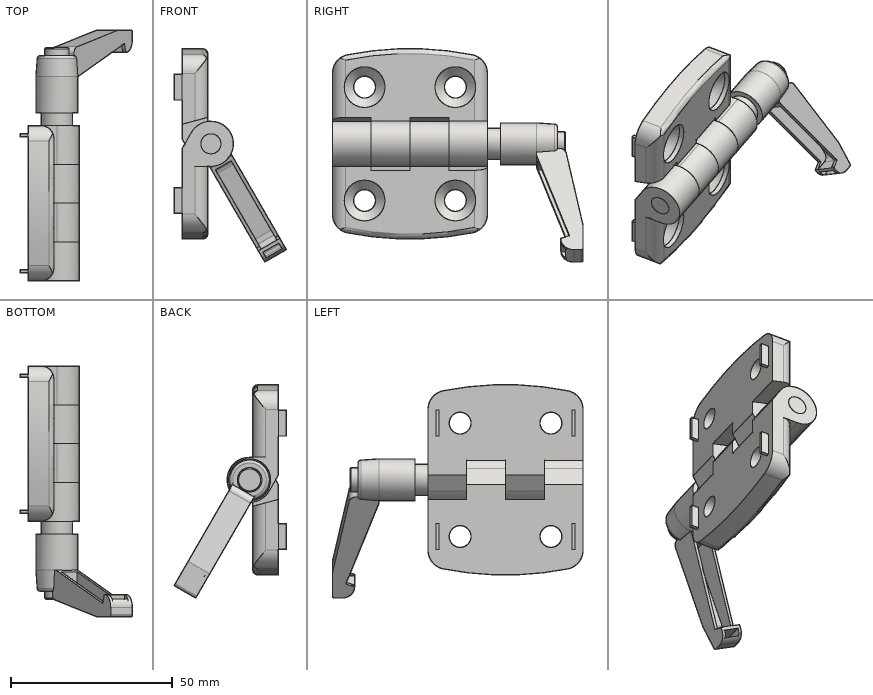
import cadquery as cq
import math


leaf_width = 48.0
leaf_thickness = 8.0
leaf_reach = 29.45
end_bow_radius = 98.4
leaf_corner_radius = 6.0
side_round_radius = 4.0
end_round_radius = 1.55

axis_x = 8.9
knuckle_radius = 7.0
knuckle_length = leaf_width / 4
neck_angle = 150.0
bay_edge_z = 6.05
bay_slope = 15.0

fixing_z = 17.5
hole_y = 14.0
hole_radius = 3.3
countersink_start_x = 3.5
countersink_radius = 6.3
tab_y = 21.0
tab_width = 1.0
tab_length = 8.0
tab_height = 2.5

pin_radius = 3.1

collar_radius = 4.9
collar_length = 3.95
sleeve_radius = 6.5
sleeve_length = 11.15
crown_radius = 6.1
crown_length = 5.6
crown_bulge = 0.04
crown_edge_radius = 0.9
cap_radius = 3.8
cap_length = 2.5
cap_chamfer = 0.4

arm_angle = 60.0
arm_width = 7.75
arm_tip_r = 40.0
overall_length = 77.5
lever_top_y = overall_length - leaf_width / 2
arm_root_r = 3.9
arm_root_round = 2.25
arm_shoulder_y = 48.4
arm_shoulder_r = arm_root_r + arm_root_round
arm_bend_r = 31.3
arm_tip_round = 0.7
hook_end_r = 35.95
hook_radius = arm_tip_r - hook_end_r
hook_end_y = 46.6
notch_r = 34.95
notch_y = 49.3
arm_foot_r = 6.3

hollow_width = 5.6
hollow_start_r = 7.7
hollow_bend_r = 32.4
hollow_start_round = 1.55
hollow_end_round = 1.85
back_thickness = 1.0
slot_start_r = 37.05
slot_width = 2.0
slot_round = 0.5

barrel_end_y = leaf_width / 2
collar_end_y = barrel_end_y + collar_length
sleeve_end_y = collar_end_y + sleeve_length
crown_end_y = sleeve_end_y + crown_length
hub_end_y = crown_end_y + crown_edge_radius
cap_end_y = hub_end_y + cap_length


def polar(radius, angle):
    """Point at an angle in degrees on a circle about the hinge axis, in XZ."""
    return (
        axis_x + radius * math.cos(math.radians(angle)),
        radius * math.sin(math.radians(angle)),
    )


def along_y(start_y):
    """Sketch plane with local x = X and local y = Z; a negative extrusion runs toward +Y."""
    return cq.Workplane(cq.Plane((0, start_y, 0), xDir=(1, 0, 0), normal=(0, -1, 0)))


def leaf_outline():
    """Plate with a bowed end and round corners, from the bay edge upward."""
    half = leaf_width / 2
    bow_center_z = leaf_reach - end_bow_radius
    shoulder_z = bow_center_z + math.sqrt(end_bow_radius**2 - half**2)
    return (
        cq.Workplane("YZ")
        .moveTo(-half, bay_edge_z)
        .lineTo(half, bay_edge_z)
        .lineTo(half, shoulder_z)
        .threePointArc((0, leaf_reach), (-half, shoulder_z))
        .close()
        .extrude(leaf_thickness)
        .edges("|X")
        .edges(">Z")
        .fillet(leaf_corner_radius)
    )


def side_round_envelope():
    """Bar along Z with the two long outer edges rounded."""
    return (
        cq.Workplane("XY")
        .box(leaf_thickness, leaf_width, leaf_reach, centered=(False, True, False))
        .edges("|Z and >X")
        .fillet(side_round_radius)
    )


def end_round_envelope():
    """Disc about the centre of the bow whose outer rim carries the end rounding."""
    return (
        cq.Workplane("YZ", origin=(0, 0, leaf_reach - end_bow_radius))
        .circle(end_bow_radius)
        .extrude(leaf_thickness)
        .faces(">X")
        .edges()
        .fillet(end_round_radius)
    )


def knuckle(start_y):
    """One barrel segment with the neck that joins it to the plate."""
    tangent_point = polar(knuckle_radius, neck_angle)
    neck_slope = math.tan(math.radians(neck_angle - 90))
    neck_foot_z = tangent_point[1] - tangent_point[0] * neck_slope
    return (
        along_y(start_y)
        .moveTo(0, knuckle_radius)
        .lineTo(0, -neck_foot_z)
        .lineTo(tangent_point[0], -tangent_point[1])
        .threePointArc(polar(knuckle_radius, 0), (axis_x, knuckle_radius))
        .close()
        .extrude(-knuckle_length)
    )


def bay(start_y):
    """Clearance for a knuckle of the other leaf, with a sloped floor."""
    floor_rise = leaf_thickness * math.tan(math.radians(bay_slope))
    return (
        along_y(start_y)
        .moveTo(0, 0)
        .lineTo(leaf_thickness, 0)
        .lineTo(leaf_thickness, bay_edge_z + floor_rise)
        .lineTo(0, bay_edge_z)
        .close()
        .extrude(-knuckle_length)
    )


def screw_hole(center_y):
    """Through hole with a 45 degree countersink and a straight mouth on the outer face."""
    mouth_x = countersink_start_x + countersink_radius - hole_radius
    return (
        cq.Workplane("XY")
        .moveTo(0, 0)
        .lineTo(0, hole_radius)
        .lineTo(countersink_start_x, hole_radius)
        .lineTo(mouth_x, countersink_radius)
        .lineTo(leaf_thickness, countersink_radius)
        .lineTo(leaf_thickness, 0)
        .close()
        .revolve(360, (0, 0, 0), (1, 0, 0))
        .translate((0, center_y, fixing_z))
    )


def tab(center_y):
    """Locating tab standing out of the back face."""
    return cq.Workplane("XY").box(tab_height, tab_width, tab_length).translate(
        (-tab_height / 2, center_y, fixing_z)
    )


def make_leaf():
    """Leaf above the hinge axis, with knuckles in the first and third quarter from +Y."""
    leaf = leaf_outline().intersect(side_round_envelope()).intersect(end_round_envelope())
    for pair_start in (-leaf_width / 2, 0):
        leaf = leaf.union(knuckle(pair_start + knuckle_length)).cut(bay(pair_start))
    for side in (-1, 1):
        leaf = leaf.cut(screw_hole(side * hole_y)).union(tab(side * tab_y))
    pin_bore = along_y(-leaf_width / 2).center(axis_x, 0).circle(pin_radius).extrude(-leaf_width)
    return leaf.cut(pin_bore)


def make_pin():
    """Plain pin through all four knuckles, flush with both barrel ends."""
    return along_y(-leaf_width / 2).center(axis_x, 0).circle(pin_radius).extrude(-leaf_width)


def lever_hub():
    """Collar, sleeve with a bulged taper, and cap, turned about Y."""
    mid_taper = ((sleeve_radius + crown_radius) / 2 + crown_bulge, sleeve_end_y + crown_length / 2)
    edge_45 = crown_edge_radius * math.sqrt(0.5)
    rim_radius = crown_radius - crown_edge_radius
    return (
        cq.Workplane(cq.Plane((0, 0, 0), xDir=(0, 0, 1), normal=(-1, 0, 0)))
        .moveTo(0, barrel_end_y)
        .lineTo(collar_radius, barrel_end_y)
        .lineTo(collar_radius, collar_end_y)
        .lineTo(sleeve_radius, collar_end_y)
        .lineTo(sleeve_radius, sleeve_end_y)
        .threePointArc(mid_taper, (crown_radius, crown_end_y))
        .threePointArc((rim_radius + edge_45, crown_end_y + edge_45), (rim_radius, hub_end_y))
        .lineTo(cap_radius, hub_end_y)
        .lineTo(cap_radius, cap_end_y - cap_chamfer)
        .lineTo(cap_radius - cap_chamfer, cap_end_y)
        .lineTo(0, cap_end_y)
        .close()
        .revolve(360, (0, 0, 0), (0, 1, 0))
    )


def lever_arm():
    """Arm with a hooked tip, profiled in local x = r and y = Y."""
    hook_45 = hook_radius * math.sqrt(0.5)
    hook_center = (hook_end_r, hook_end_y + hook_radius)
    tip_45 = arm_tip_round * (1 - math.sqrt(0.5))
    root_45 = arm_root_round * (1 - math.sqrt(0.5))
    return (
        cq.Workplane("XY")
        .moveTo(0, sleeve_end_y)
        .lineTo(arm_foot_r, sleeve_end_y)
        .lineTo(notch_r, notch_y)
        .lineTo(hook_end_r, hook_end_y)
        .threePointArc((hook_center[0] + hook_45, hook_center[1] - hook_45), (arm_tip_r, hook_center[1]))
        .lineTo(arm_tip_r, lever_top_y - arm_tip_round)
        .threePointArc((arm_tip_r - tip_45, lever_top_y - tip_45), (arm_tip_r - arm_tip_round, lever_top_y))
        .lineTo(arm_bend_r, lever_top_y)
        .lineTo(arm_shoulder_r, arm_shoulder_y)
        .threePointArc(
            (arm_root_r + root_45, arm_shoulder_y - root_45),
            (arm_root_r, arm_shoulder_y - arm_root_round),
        )
        .lineTo(arm_root_r, hub_end_y)
        .lineTo(0, hub_end_y)
        .close()
        .extrude(arm_width / 2, both=True)
    )


def arm_hollow():
    """Hollow open to the underside; its sloped floor runs parallel to the arm's back."""
    floor_y = lever_top_y - back_thickness
    back_slope = (lever_top_y - arm_shoulder_y) / (arm_bend_r - arm_shoulder_r)
    floor_start_y = floor_y - (hollow_bend_r - hollow_start_r) * back_slope
    hollow = (
        cq.Workplane("XY")
        .moveTo(hollow_start_r, sleeve_end_y)
        .lineTo(hollow_start_r, floor_start_y)
        .lineTo(hollow_bend_r, floor_y)
        .lineTo(hook_end_r, floor_y)
        .lineTo(hook_end_r, sleeve_end_y)
        .close()
        .extrude(hollow_width / 2, both=True)
    )
    return (
        hollow.edges("|Z")
        .edges("<X")
        .edges(">Y")
        .fillet(hollow_start_round)
        .edges("|Z")
        .edges(">X")
        .edges(">Y")
        .fillet(hollow_end_round)
    )


def hook_slot():
    """Narrow blind slot in the hook, as deep as the hollow, with rounded floor edges."""
    depth = lever_top_y - back_thickness - hook_end_y
    return (
        cq.Workplane("XY")
        .box(slot_width, depth, hollow_width, centered=(False, False, True))
        .edges("|Z and >Y")
        .fillet(slot_round)
        .translate((slot_start_r, hook_end_y, 0))
    )


def make_lever():
    """Clamping lever, swung about the hinge axis to its working angle."""
    lever = lever_arm().cut(arm_hollow()).cut(hook_slot()).union(lever_hub())
    return lever.rotate((0, 0, 0), (0, 1, 0), arm_angle).translate((axis_x, 0, 0))


upper_leaf = make_leaf()
lower_leaf = upper_leaf.rotate((0, 0, 0), (1, 0, 0), 180)
pin = make_pin()
lever = make_lever()

result = cq.Compound.makeCompound([upper_leaf.val(), lower_leaf.val(), pin.val(), lever.val()])